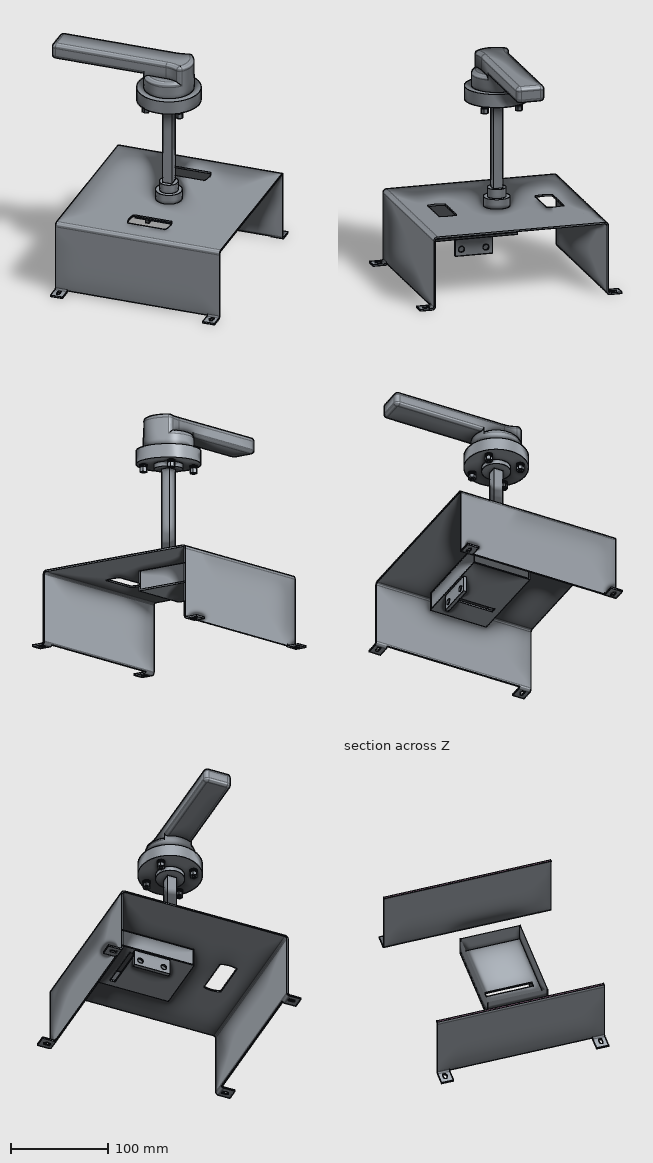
import cadquery as cq
import math

total_height = 241.2

sheet = 1.8
bracket_width = 180.0
bracket_depth = 216.5
leg_span = 188.0
bracket_height = 78.1
top_bend_radius = 4.0
foot_bend_radius = 3.4
foot_width = 13.0
foot_slot_width = 3.4
foot_slot_inset = 4.3
foot_slot_length = 7.0
foot_slot_from_side = 6.0
foot_bulge_radius = 2.2
foot_bulge_inset = 8.0

window_offset = 57.6
window_height = 19.0
window_edge_length = 41.5
window_length = 45.0
window_corner_radius = 1.2

tray_width = 65.1
tray_y_min = -13.5
tray_y_max = 82.5
tray_wall = 1.0
tray_floor = 2.0
tray_bottom = 55.2
slit_length = 50.7
slit_y_min = 49.7
slit_y_max = 55.5
tab_x = -29.0
tab_thickness = 3.9
tab_y_min = 12.8
tab_y_max = 52.5
tab_bottom = 37.0
tab_hole_radius = 3.1
tab_hole_depth = 2.0
tab_hole_z = 44.0
tab_hole_ys = (19.8, 46.0)

axis_x = 0.0
axis_y = -1.0
collar_radius = 13.7
collar_top = 88.3
neck_radius = 9.6
neck_top = 98.0
shaft_side = 10.1

boss_radius = 15.0
boss_bottom = 188.0
flange_radius = 33.3
flange_bottom = 193.0
flange_top = 207.2
hub_radius = 26.0
grip_bottom = 224.3
grip_end_x = -124.0
grip_half_width = 15.0
grip_y = -0.2
flare_start_x = 2.0
flare_end_x = 17.8
grip_top_radius = 4.3
grip_bottom_radius = 3.5
grip_corner_radius = 4.5

stud_offset = 18.3
stud_radius = 1.7
stud_bottom = 183.5
washer_radius = 4.0
washer_thickness = 0.7
washer_top = 191.8
nut_collar_radius = 2.7
nut_top = 189.5
nut_bottom = 184.3
nut_across_flats = 6.8


def box(x_min, x_max, y_min, y_max, z_min, z_max):
    """A block given by its limits."""
    block = cq.Workplane("XY").box(x_max - x_min, y_max - y_min, z_max - z_min, centered=False)
    return block.translate((x_min, y_min, z_min))


def disc(radius, z_min, z_max, x=axis_x, y=axis_y):
    """An upright cylinder, on the rotary axis unless placed elsewhere."""
    return cq.Workplane("XY", origin=(x, y, z_min)).circle(radius).extrude(z_max - z_min)


def bent_sheet():
    """Full-width bent sheet: foot, leg, plate, leg, foot."""
    half_depth = bracket_depth / 2
    outer = leg_span / 2
    inner = outer - sheet
    inside_top = bracket_height - sheet
    outline = [
        (-half_depth, 0), (-inner, 0), (-inner, inside_top), (inner, inside_top),
        (inner, 0), (half_depth, 0), (half_depth, sheet), (outer, sheet),
        (outer, bracket_height), (-outer, bracket_height), (-outer, sheet), (-half_depth, sheet),
    ]
    profile = cq.Workplane("YZ", origin=(-bracket_width / 2, 0, 0)).polyline(outline).close()
    bent = profile.extrude(bracket_width)

    def round_bends(body, y, z, radius):
        reach = sheet / 4
        for side in (-1, 1):
            picker = cq.selectors.BoxSelector(
                (-bracket_width, side * y - reach, z - reach),
                (bracket_width, side * y + reach, z + reach),
            )
            body = body.edges("|X").edges(picker).fillet(radius)
        return body

    bent = round_bends(bent, outer, bracket_height, top_bend_radius)
    bent = round_bends(bent, inner, inside_top, top_bend_radius - sheet)
    bent = round_bends(bent, inner, 0, foot_bend_radius)
    return round_bends(bent, outer, sheet, foot_bend_radius - sheet)


def foot_gap(side):
    """Space between the two feet on one side, which leaves the leg plain there."""
    half_gap = bracket_width / 2 - foot_width
    leg_face = leg_span / 2
    below_leg = box(-half_gap, half_gap, 0, bracket_depth, 0, sheet)
    beyond_leg = box(-half_gap, half_gap, leg_face, bracket_depth, 0, foot_bend_radius)
    gap = below_leg.union(beyond_leg)
    return gap if side > 0 else gap.mirror("XZ")


def foot_slot(x_side, y_side):
    """Slot with a round outer end; the +X feet also have a round bulge towards the middle."""
    x = x_side * (bracket_width / 2 - foot_slot_from_side)
    half_width = foot_slot_width / 2
    tip = bracket_depth / 2 - foot_slot_inset
    round_centre = tip - half_width
    slot = box(x - half_width, x + half_width, tip - foot_slot_length, round_centre, 0, sheet)
    slot = slot.union(disc(half_width, 0, sheet, x, round_centre))
    if x_side > 0:
        bulge_x = x + half_width - foot_bulge_radius
        bulge_y = bracket_depth / 2 - foot_bulge_inset
        slot = slot.union(disc(foot_bulge_radius, 0, sheet, bulge_x, bulge_y))
    return slot if y_side > 0 else slot.mirror("XZ")


def plate_window(y):
    """Window with straight long edges, bowed ends and rounded corners."""
    x = window_edge_length / 2
    bow = window_length / 2
    low = y - window_height / 2
    high = y + window_height / 2
    sketch = (
        cq.Workplane("XY", origin=(0, 0, bracket_height - sheet))
        .moveTo(-x, low)
        .lineTo(x, low)
        .threePointArc((bow, y), (x, high))
        .lineTo(-x, high)
        .threePointArc((-bow, y), (-x, low))
        .close()
    )
    return sketch.extrude(sheet).edges("|Z").fillet(window_corner_radius)


def tray():
    """Thin-walled tray against the plate, with a slit through its floor."""
    half = tray_width / 2
    inner = half - tray_wall
    plate_underside = bracket_height - sheet
    floor_top = tray_bottom + tray_floor
    shell = box(-half, half, tray_y_min, tray_y_max, tray_bottom, plate_underside)
    cavity = box(-inner, inner, tray_y_min + tray_wall, tray_y_max - tray_wall, floor_top, plate_underside)
    slit = box(-slit_length / 2, slit_length / 2, slit_y_min, slit_y_max, tray_bottom, floor_top)
    return shell.cut(cavity).cut(slit)


def tab():
    """Tab below the tray with two blind holes in its -X face."""
    face_x = tab_x - tab_thickness / 2
    plate = box(face_x, face_x + tab_thickness, tab_y_min, tab_y_max, tab_bottom, tray_bottom)
    holes = (
        cq.Workplane("YZ", origin=(face_x, 0, tab_hole_z))
        .pushPoints([(y, 0) for y in tab_hole_ys])
        .circle(tab_hole_radius)
        .extrude(tab_hole_depth)
    )
    return plate.cut(holes)


def make_bracket():
    body = bent_sheet()
    for y_side in (-1, 1):
        body = body.cut(foot_gap(y_side))
        body = body.cut(plate_window(y_side * window_offset))
        for x_side in (-1, 1):
            body = body.cut(foot_slot(x_side, y_side))
    collar = disc(collar_radius, bracket_height, collar_top)
    neck = disc(neck_radius, collar_top, neck_top)
    return body.union(tray()).union(tab()).union(collar).union(neck)


def make_shaft():
    """Square shaft from the collar neck up to the handle boss."""
    base = cq.Workplane("XY", origin=(axis_x, axis_y, neck_top))
    return base.rect(shaft_side, shaft_side).extrude(boss_bottom - neck_top)


def grip_block(z_min, z_max):
    """Straight bar that flares out to meet the round hub, with rounded upright corners."""
    low = grip_y - grip_half_width
    high = grip_y + grip_half_width
    flare_half = math.sqrt(hub_radius**2 - (flare_end_x - axis_x) ** 2)
    flare_low = axis_y - flare_half
    flare_high = axis_y + flare_half
    outline = (
        cq.Workplane("XY", origin=(0, 0, z_min))
        .moveTo(grip_end_x, low)
        .lineTo(flare_start_x, low)
        .radiusArc((flare_end_x, flare_low), flare_radius(low - flare_low))
        .threePointArc((axis_x + hub_radius, axis_y), (flare_end_x, flare_high))
        .radiusArc((flare_start_x, high), flare_radius(flare_high - high))
        .lineTo(grip_end_x, high)
        .close()
    )
    block = outline.extrude(z_max - z_min)
    block = block.edges("|Z").edges("<X").fillet(grip_corner_radius)
    return block.edges("|Z").edges(">X").fillet(grip_corner_radius)


def flare_radius(rise):
    """Radius of an arc that leaves the bar tangentially and rises sideways by `rise`."""
    run = flare_end_x - flare_start_x
    return (run**2 + rise**2) / (2 * rise)


def make_grip():
    grip = grip_block(grip_bottom, total_height)
    grip = grip.faces(">Z").edges().fillet(grip_top_radius)
    return grip.faces("<Z").edges().fillet(grip_bottom_radius)


def make_hub():
    """Round hub with a rounded shoulder, and full height where it carries the grip."""
    hub = disc(hub_radius, flange_top, grip_bottom).faces(">Z").edges().fillet(grip_top_radius)
    core_top = total_height - grip_top_radius
    low = grip_y - grip_half_width
    high = grip_y + grip_half_width
    bar_half = box(-2 * hub_radius, 0, low, high, flange_top, core_top)
    flared_half = box(0, 2 * hub_radius, -2 * hub_radius, 2 * hub_radius, flange_top, core_top)
    under_bar = disc(hub_radius, flange_top, core_top).intersect(bar_half)
    under_flare = grip_block(flange_top, core_top).intersect(flared_half)
    return hub.union(under_bar).union(under_flare)


def make_stud(x, y):
    """Stud with its washer and nut."""
    stud = disc(stud_radius, stud_bottom, flange_bottom, x, y)
    washer = disc(washer_radius, washer_top - washer_thickness, washer_top, x, y)
    nut_collar = disc(nut_collar_radius, nut_top, washer_top, x, y)
    nut = (
        cq.Workplane("XY", origin=(x, y, nut_bottom))
        .transformed(rotate=(0, 0, 90))
        .polygon(6, nut_across_flats / math.cos(math.pi / 6))
        .extrude(nut_top - nut_bottom)
    )
    return stud.union(washer).union(nut_collar).union(nut)


def make_handle():
    body = disc(boss_radius, boss_bottom, flange_bottom)
    body = body.union(disc(flange_radius, flange_bottom, flange_top))
    body = body.union(make_hub()).union(make_grip())
    for x_side in (-1, 1):
        for y_side in (-1, 1):
            body = body.union(make_stud(axis_x + x_side * stud_offset, axis_y + y_side * stud_offset))
    return body


bracket = make_bracket()
shaft = make_shaft()
handle = make_handle()

result = cq.Compound.makeCompound([bracket.val(), shaft.val(), handle.val()])